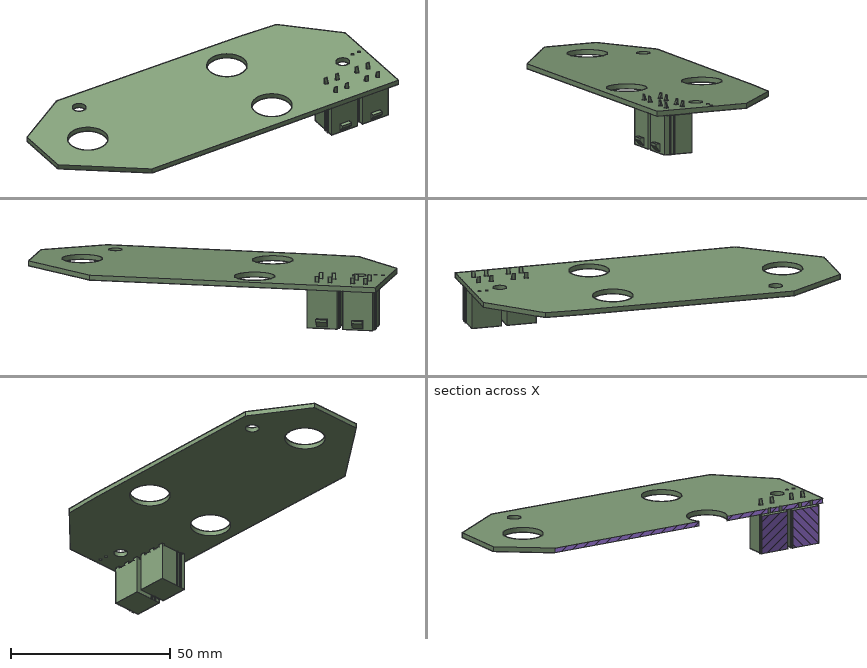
import cadquery as cq

board_length = 115.6
board_width = 48.1
board_thickness = 1.6
half_length = board_length / 2
half_width = board_width / 2
right_edge_inset = 0.2
left_bend_inset = 0.5
left_top_inset = 1.0
top_left_x = -7.5
upper_left_y = 42.1
left_bend_y = 29.1
lower_left_y = -39.1
lower_right_y = -34.1
bottom_left_x = -11.9
bottom_right_x = 6.2

window_diameter = 12.7
window_centres = [(-12.1, 16.8), (14.2, 16.8), (-1.0, -42.1)]
mounting_hole_diameter = 4.3
mounting_hole_centres = [(5.7, 48.6), (-17.2, -35.0)]
wire_hole_diameter = 0.9
wire_hole_x = 3.8
wire_hole_centre_y = 54.6
wire_hole_pitch = 2.4
pin_hole_diameter = 1.4

connector_x = 15.6
connector_ys = [51.3, 39.9]
housing_width = 9.7
housing_depth = 9.7
housing_height = 13.0
rib_width = 0.5
rib_height = 0.3
rib_offsets = [1.5, 2.9]

relief_width = 7.7
relief_depth = 0.5
pin_opening_width = 2.4
pin_opening_depth = 0.7

pin_pitch_x = 5.5
pin_pitch_y = 4.2
pin_width = 1.1
pin_thickness = 0.64
pin_tip_thickness = 0.1
pin_rise = 1.7
pin_outer_offset = 0.29

latch_reach = 1.4
latch_top_z = -9.8
latch_lip_height = 0.8
latch_height = 2.5
latch_width = 3.5


def pin_offsets():
    """Pin hole axes relative to the connector centre."""
    return [(sx * pin_pitch_x / 2, sy * pin_pitch_y / 2) for sx in (-1, 1) for sy in (-1, 1)]


def make_board():
    outline = [
        (top_left_x, half_length),
        (half_width - right_edge_inset, half_length),
        (half_width, lower_right_y),
        (bottom_right_x, -half_length),
        (bottom_left_x, -half_length),
        (-half_width, lower_left_y),
        (-half_width + left_bend_inset, left_bend_y),
        (-half_width + left_top_inset, upper_left_y),
    ]
    wire_hole_centres = [(wire_hole_x, wire_hole_centre_y + s * wire_hole_pitch / 2) for s in (-1, 1)]
    pin_hole_centres = [(connector_x + x, y0 + y) for y0 in connector_ys for x, y in pin_offsets()]
    hole_groups = [
        (window_diameter, window_centres),
        (mounting_hole_diameter, mounting_hole_centres),
        (wire_hole_diameter, wire_hole_centres),
        (pin_hole_diameter, pin_hole_centres),
    ]
    board = cq.Workplane("XY").polyline(outline).close().extrude(board_thickness)
    for diameter, centres in hole_groups:
        holes = cq.Workplane("XY").pushPoints(centres).circle(diameter / 2).extrude(board_thickness)
        board = board.cut(holes)
    return board


def make_housing():
    """Housing block with ribs on both ends, centred on the Z axis with its top at Z = 0."""
    block = cq.Workplane("XY").rect(housing_width, housing_depth).extrude(-housing_height)
    rib_centres = [(x, 0) for x in rib_offsets]
    ribs = (
        cq.Workplane("XY")
        .pushPoints(rib_centres)
        .rect(rib_width, housing_depth + 2 * rib_height)
        .extrude(-housing_height)
    )
    return block.union(ribs)


def make_relief():
    """Channel along Y, plus openings from the -X wall to the middle, in line with the pins."""
    ribbed_depth = housing_depth + 2 * rib_height
    channel = cq.Workplane("XY").rect(relief_width, ribbed_depth).extrude(-relief_depth)
    opening_centres = [(-housing_width / 4, s * pin_pitch_y / 2) for s in (-1, 1)]
    openings = (
        cq.Workplane("XY")
        .pushPoints(opening_centres)
        .rect(housing_width / 2, pin_opening_width)
        .extrude(-pin_opening_depth)
    )
    return channel.union(openings)


def make_pin(side):
    """Pin on its hole axis; side is -1 or +1 for the row it belongs to."""
    outer_x = side * pin_outer_offset
    profile = [
        (outer_x, -pin_opening_depth),
        (outer_x, board_thickness + pin_rise),
        (outer_x - side * pin_tip_thickness, board_thickness + pin_rise),
        (outer_x - side * pin_thickness, board_thickness),
        (outer_x - side * pin_thickness, -pin_opening_depth),
    ]
    return cq.Workplane("XZ").polyline(profile).close().extrude(pin_width / 2, both=True)


def make_latch():
    """Catch with a flat top and a sloped lead-in below."""
    wall_x = housing_width / 2
    profile = [
        (wall_x, latch_top_z),
        (wall_x + latch_reach, latch_top_z),
        (wall_x + latch_reach, latch_top_z - latch_lip_height),
        (wall_x, latch_top_z - latch_height),
    ]
    return cq.Workplane("XZ").polyline(profile).close().extrude(latch_width / 2, both=True)


def make_connector(centre_y):
    connector = make_housing().cut(make_relief()).union(make_latch())
    for x, y in pin_offsets():
        side = 1 if x > 0 else -1
        connector = connector.union(make_pin(side).translate((x, y, 0)))
    return connector.translate((connector_x, centre_y, 0))


board = make_board()
connectors = [make_connector(y) for y in connector_ys]

result = cq.Compound.makeCompound([board.val(), *[c.val() for c in connectors]])